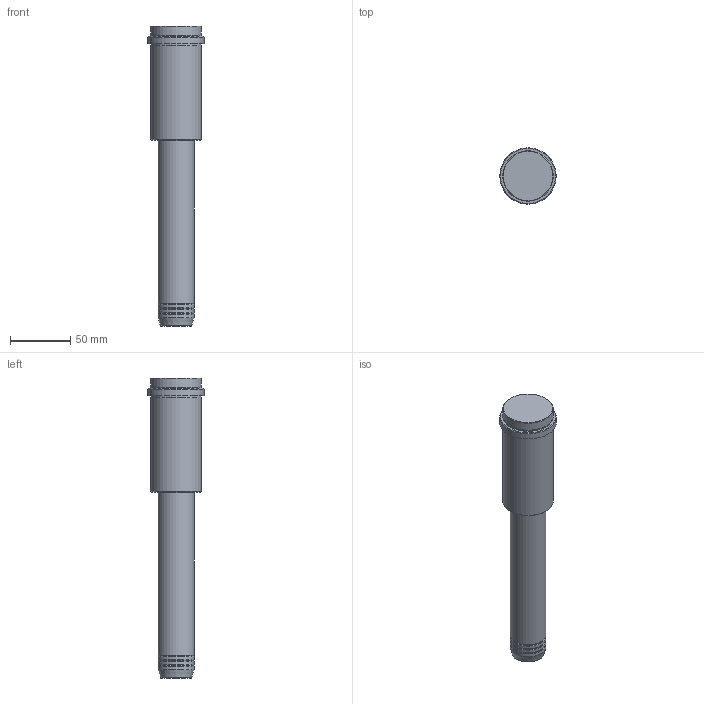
import cadquery as cq

total_length = 250.0
head_diameter = 42.0
head_length = 95.0
shank_diameter = 30.0
shoulder_height = total_length - head_length

collar_diameter = 47.0
collar_height = 6.0
collar_top_depth = 8.75
collar_top = total_length - collar_top_depth
collar_bottom = collar_top - collar_height

head_top_chamfer = 0.4
collar_chamfer = 0.5
shoulder_chamfer = 0.5
shoulder_fillet = 0.75
edge_search_margin = 0.05

relief_width = 1.1
relief_depth = 0.15

groove_count = 3
groove_pitch = 4.0
groove_width = 1.2
groove_depth = 0.3
lowest_groove_height = 10.45

tip_length = 7.0
tip_diameter = 26.2
tip_edge_chamfer = 0.5


def cylinder(diameter, bottom, top):
    """Solid cylinder on the Z axis between two heights."""
    return cq.Workplane("XY").workplane(offset=bottom).circle(diameter / 2).extrude(top - bottom)


def make_tip():
    """Cone from the end face up to the full shank diameter."""
    cone = (
        cq.Workplane("XY")
        .circle(tip_diameter / 2)
        .workplane(offset=tip_length)
        .circle(shank_diameter / 2)
        .loft(ruled=True)
    )
    return cone.faces("<Z").chamfer(tip_edge_chamfer)


def make_head():
    """Head cylinder with its end edges chamfered."""
    head = cylinder(head_diameter, shoulder_height, total_length)
    return head.faces(">Z").chamfer(head_top_chamfer).faces("<Z").chamfer(shoulder_chamfer)


def make_collar():
    """Collar disc with its upper rim chamfered."""
    return cylinder(collar_diameter, collar_bottom, collar_top).faces(">Z").chamfer(collar_chamfer)


def cut_collar_reliefs(head):
    """Turn a shallow relief into the head on each side of the collar."""
    bottom = collar_bottom - relief_width
    top = collar_top + relief_width
    floor_diameter = head_diameter - 2 * relief_depth
    sleeve = cylinder(head_diameter, bottom, top).cut(cylinder(floor_diameter, bottom, top))
    return head.cut(sleeve)


def fillet_shoulder_root(body):
    """Round the inside corner where the shank meets the shoulder face."""
    reach = shank_diameter / 2 + edge_search_margin
    corner = (-reach, -reach, shoulder_height - edge_search_margin)
    opposite_corner = (reach, reach, shoulder_height + edge_search_margin)
    root = cq.selectors.BoxSelector(corner, opposite_corner, boundingbox=True)
    return body.edges(root).fillet(shoulder_fillet)


def groove_cutter(height):
    """Diamond-section ring whose inner half cuts one V groove centred on a height."""
    radius = shank_diameter / 2
    half_width = groove_width / 2
    return (
        cq.Workplane("XZ")
        .moveTo(radius - groove_depth, height)
        .lineTo(radius, height + half_width)
        .lineTo(radius + groove_depth, height)
        .lineTo(radius, height - half_width)
        .close()
        .revolve(360, (0, 0, 0), (0, 1, 0))
    )


def cut_grooves(body):
    """Cut the evenly spaced grooves near the tip."""
    for index in range(groove_count):
        body = body.cut(groove_cutter(lowest_groove_height + index * groove_pitch))
    return body


def make_body():
    """Tip, shank, head and collar joined along one axis."""
    shank = cylinder(shank_diameter, tip_length, shoulder_height)
    return make_tip().union(shank).union(cut_collar_reliefs(make_head())).union(make_collar())


result = cut_grooves(fillet_shoulder_root(make_body()))